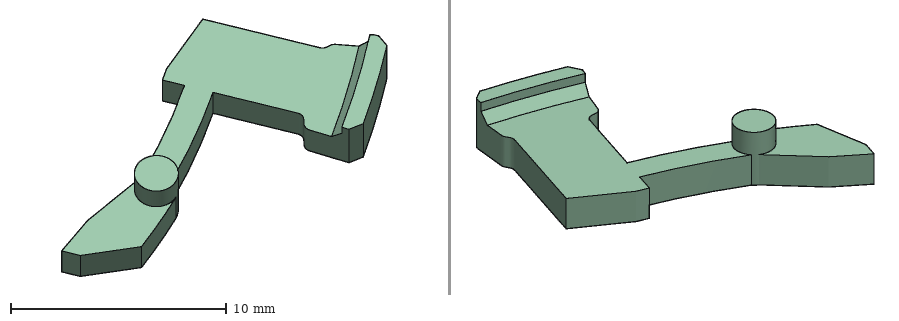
import cadquery as cq
import math

plate_height = 1.66
lip_height = 2.65
pin_height = 2.9
lip_slope_top = 2.17

arm_centre_x = -29.02
head_centre_x = -32.82
centre_y = 10.32
arm_inner_radius = 31.75
arm_outer_radius = 33.13
tail_outer_radius = 33.73
lip_foot_radius = 42.95
lip_inner_radius = lip_foot_radius + lip_slope_top - plate_height
head_outer_radius = 44.35

body_bottom = 10.75
body_top = 14.65
neck_x = 8.3
head_bottom_corner = (10.99, 9.86)
head_right_bottom_y = 10.37
head_right_top_y = 15.0
head_top_y = 15.41
neck_fillet = 0.39

pin_x = 3.19
pin_y = 4.68
pin_diameter = 2.05


def on_arc(centre_x, radius, y):
    """Point at height y on the right-hand side of a circle at (centre_x, centre_y)."""
    return (centre_x + math.sqrt(radius**2 - (y - centre_y) ** 2), y)


def arc_to(sketch, centre_x, radius, y_start, y_end):
    """Continue the outline along the right-hand side of that circle."""
    middle = on_arc(centre_x, radius, (y_start + y_end) / 2)
    return sketch.threePointArc(middle, on_arc(centre_x, radius, y_end))


def make_body(height):
    """Body with its flared head, rounded where the neck widens."""
    lower_neck = [(8.5, body_bottom), (8.77, 10.0)]
    upper_neck = [(8.65, 15.02), (neck_x, body_top)]
    outline = (
        cq.Workplane("XY")
        .moveTo(1.65, body_bottom)
        .lineTo(*lower_neck[0])
        .lineTo(*lower_neck[1])
        .lineTo(*head_bottom_corner)
        .lineTo(*on_arc(head_centre_x, head_outer_radius, head_right_bottom_y))
    )
    outline = arc_to(outline, head_centre_x, head_outer_radius, head_right_bottom_y, head_right_top_y)
    body = (
        outline.lineTo(10.75, head_top_y)
        .lineTo(10.55, head_top_y)
        .lineTo(*upper_neck[0])
        .lineTo(*upper_neck[1])
        .lineTo(2.43, body_top)
        .lineTo(1.65, 11.43)
        .close()
        .extrude(height)
    )
    for x, y in lower_neck + upper_neck:
        corner = cq.selectors.NearestToPointSelector((x, y, height / 2))
        body = body.edges(corner).fillet(neck_fillet)
    return body


def make_lip_relief():
    """Revolved cutter that clears the body top and leaves the sloped, curved lip."""
    return (
        cq.Workplane("XZ", origin=(head_centre_x, centre_y, 0))
        .moveTo(0, plate_height)
        .lineTo(lip_foot_radius, plate_height)
        .lineTo(lip_inner_radius, lip_slope_top)
        .lineTo(lip_inner_radius, lip_height)
        .lineTo(0, lip_height)
        .close()
        .revolve(360, (0, 0, 0), (0, 1, 0))
    )


def make_arm():
    """Curved arm and pointed tail; the step between them lies under the pin."""
    arm_left_end = 5.09
    tail_corner_y = 1.31
    tail_top_y = 4.5
    outline = cq.Workplane("XY").moveTo(*on_arc(arm_centre_x, arm_inner_radius, body_bottom))
    outline = arc_to(outline, arm_centre_x, arm_inner_radius, body_bottom, arm_left_end)
    outline = (
        outline.lineTo(2.14, 4.81)
        .lineTo(0.65, 2.02)
        .lineTo(0, 0)
        .lineTo(0.91, 0)
        .lineTo(*on_arc(arm_centre_x, tail_outer_radius, tail_corner_y))
    )
    outline = arc_to(outline, arm_centre_x, tail_outer_radius, tail_corner_y, tail_top_y)
    outline = outline.lineTo(*on_arc(arm_centre_x, arm_outer_radius, pin_y))
    outline = arc_to(outline, arm_centre_x, arm_outer_radius, pin_y, body_bottom)
    return outline.close().extrude(plate_height)


def make_pin():
    """Round pin that runs through the plate and stands above it."""
    return cq.Workplane("XY").center(pin_x, pin_y).circle(pin_diameter / 2).extrude(pin_height)


body = make_body(lip_height).cut(make_lip_relief())
result = body.union(make_arm()).union(make_pin())